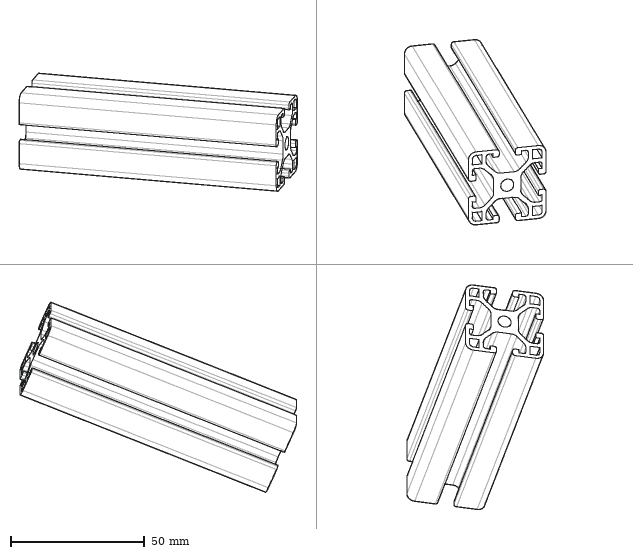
import cadquery as cq

length = 100.0
side = 30.0
corner_radius = 3.0
wall = 1.5
half_side = side / 2

slot_opening = 6.2
slot_width = 16.3
hook_width = 2.4
lip_depth = 3.0
core_width = 10.5
web_offset = 1.4
lip_radius = 1.0
lip_inner_radius = 0.8
slot_corner_radius = 1.0
web_radius = 3.0

cavity_size = 3.7
cavity_radius = 1.5
bore_diameter = 5.0

QUARTER_TURNS = (0, 90, 180, 270)


def prism(sketch):
    """Extrude a YZ outline, drawn on the profile's end plane, over the full length."""
    return sketch.extrude(length)


def end_plane():
    return cq.Workplane("YZ", origin=(-length / 2, 0, 0))


def fillet_at(body, points, radius):
    """Round the lengthwise edges that pass through the given (y, z) points."""
    for y, z in points:
        body = body.edges("|X").edges(cq.NearestToPointSelector((0, y, z))).fillet(radius)
    return body


def both_sides(y, z):
    return [(-y, z), (y, z)]


def turned(body, angle):
    return body.rotate((0, 0, 0), (1, 0, 0), angle)


def slot_cutter():
    """T-slot that opens towards +Z."""
    opening = slot_opening / 2
    hook = opening + hook_width
    outer = slot_width / 2
    floor = core_width / 2
    under_lip = half_side - lip_depth
    top = half_side - wall
    right_half = [
        (opening, half_side),
        (opening, under_lip),
        (hook, under_lip),
        (hook, top),
        (outer, top),
        (outer, outer + web_offset),
        (floor - web_offset, floor),
    ]
    left_half = [(-y, z) for y, z in reversed(right_half)]
    cutter = prism(end_plane().polyline(right_half + left_half).close())
    cutter = fillet_at(cutter, both_sides(opening, under_lip), lip_inner_radius)
    cutter = fillet_at(cutter, both_sides(outer, top), slot_corner_radius)
    cutter = fillet_at(cutter, both_sides(outer, outer + web_offset), web_radius)
    return fillet_at(cutter, both_sides(floor - web_offset, floor), web_radius)


def cavity_cutter():
    """Square hollow in the +Y +Z corner, rounded only at its outermost edge."""
    outer = half_side - wall
    centre = outer - cavity_size / 2
    cutter = prism(end_plane().center(centre, centre).rect(cavity_size, cavity_size))
    return fillet_at(cutter, [(outer, outer)], cavity_radius)


profile = prism(end_plane().rect(side, side)).edges("|X").fillet(corner_radius)
profile = profile.cut(prism(end_plane().circle(bore_diameter / 2)))

slot = slot_cutter()
cavity = cavity_cutter()
for angle in QUARTER_TURNS:
    profile = profile.cut(turned(slot, angle)).cut(turned(cavity, angle))

for y, z in both_sides(slot_opening / 2, half_side):
    profile = fillet_at(profile, [(y, z), (y, -z), (z, y), (-z, y)], lip_radius)

result = profile